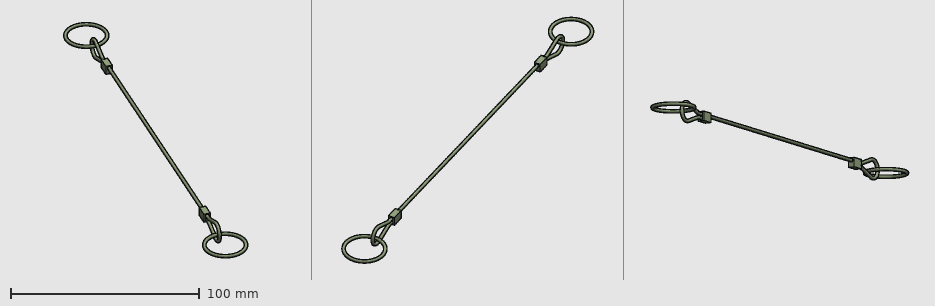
import cadquery as cq
import math


overall_length = 243.0
ring_diameter = 24.0
ring_wire_diameter = 2.0
cable_diameter = 2.0
eye_height = 12.0
eye_center_x = 95.7
strand_offset = 1.1
bend_radius = 4.9
bend_end_x = 83.0
ferrule_outer_x = 81.0
ferrule_length = 7.3
ferrule_width = 3.6
ferrule_height = 5.0

ring_radius = (ring_diameter - ring_wire_diameter) / 2
ring_center_x = (overall_length - ring_diameter) / 2
eye_radius = (eye_height - cable_diameter) / 2
ferrule_center_x = ferrule_outer_x - ferrule_length / 2

bend_run = eye_center_x - bend_end_x
bend_rise = strand_offset + bend_radius
center_distance = math.hypot(bend_run, bend_rise)
leg_angle = math.atan2(bend_run, bend_rise) - math.acos((eye_radius + bend_radius) / center_distance)


def make_ring(side):
    """Round wire ring lying in the XY plane; side is -1 for the left end, +1 for the right."""
    ring = cq.Solid.makeTorus(ring_radius, ring_wire_diameter / 2)
    return ring.translate(cq.Vector(side * ring_center_x, 0, 0))


def eye_path():
    """Centre line of the left half cable, from its end inside the ferrule to mid-length."""
    leg_start = (
        -eye_center_x + eye_radius * math.sin(leg_angle),
        eye_radius * math.cos(leg_angle),
    )
    leg_end = (
        -bend_end_x - bend_radius * math.sin(leg_angle),
        bend_rise - bend_radius * math.cos(leg_angle),
    )
    bend_middle = (
        -bend_end_x - bend_radius * math.sin(leg_angle / 2),
        bend_rise - bend_radius * math.cos(leg_angle / 2),
    )
    return (
        cq.Workplane("XZ")
        .moveTo(-ferrule_center_x, -strand_offset)
        .lineTo(-bend_end_x, -strand_offset)
        .threePointArc((bend_middle[0], -bend_middle[1]), (leg_end[0], -leg_end[1]))
        .lineTo(leg_start[0], -leg_start[1])
        .threePointArc((-eye_center_x - eye_radius, 0), leg_start)
        .lineTo(*leg_end)
        .threePointArc(bend_middle, (-bend_end_x, strand_offset))
        .lineTo(0, strand_offset)
    )


def make_cable():
    """Cable with both eyes and the ferrules crimped on them, as one solid."""
    strand = (
        cq.Workplane("YZ", origin=(-ferrule_center_x, 0, -strand_offset))
        .circle(cable_diameter / 2)
        .sweep(eye_path())
    )
    ferrule = (
        cq.Workplane("XY")
        .box(ferrule_length, ferrule_width, ferrule_height)
        .translate((-ferrule_center_x, 0, 0))
    )
    left_half = strand.union(ferrule)
    return left_half.union(left_half.mirror("YZ"))


cable = make_cable()
rings = [make_ring(side) for side in (-1, 1)]

result = cq.Compound.makeCompound([cable.solids().val(), *rings])